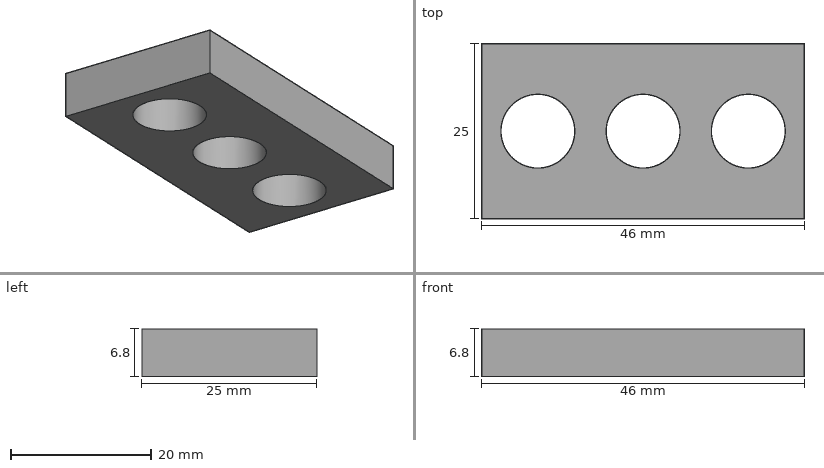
import cadquery as cq

length = 46.0
width = 25.0
thickness = 6.8

hole_diameter = 10.5
hole_spacing = 15.0
hole_count = 3

plate = cq.Workplane("XY").box(length, width, thickness)

result = (
    plate.faces(">Z")
    .workplane()
    .rarray(hole_spacing, 0.45, hole_count, 1)
    .hole(hole_diameter)
)